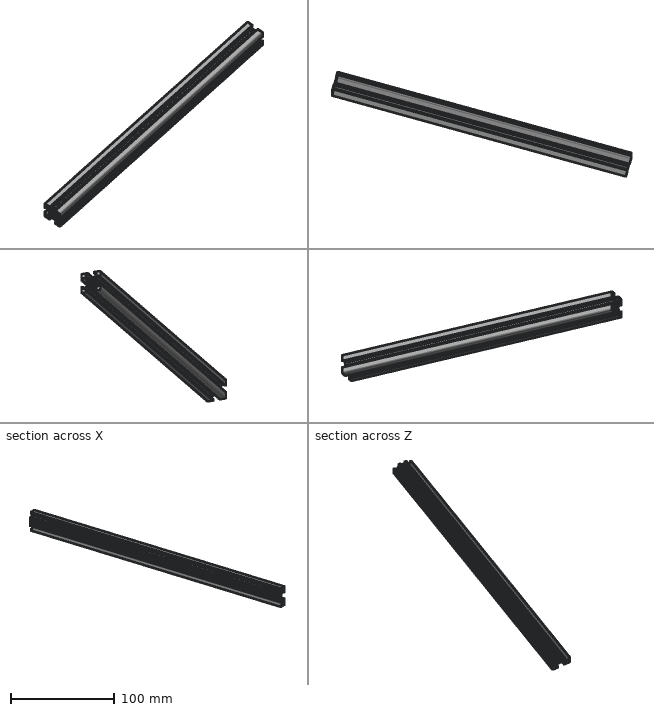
import cadquery as cq

size = 20.0
length = 296.0
corner_radius = 1.0

slot_opening = 7.0
slot_depth = 5.5
slot_floor_width = 7.0
lip_thickness = 1.5
lip_radius = 0.5
cavity_width = 11.0
cavity_radius = 0.5
cavity_wall_height = 2.25

groove_top_width = 1.4
groove_bottom_width = 0.6
groove_depth = 0.4

bore_diameter = 5.0
relief_width = 1.2
relief_reach = 3.6

half_size = size / 2


def section():
    """Cross-section plane: local x is +X, local y is +Z."""
    return cq.Workplane("XZ")


def extrude_along_bar(outline):
    """Extrude a cross-section over the full length, centred on Y = 0."""
    return outline.extrude(length / 2, both=True)


def turn_about_bar(body, angle):
    return body.rotate((0, 0, 0), (0, 1, 0), angle)


def fillet_pair(body, x, z, radius):
    """Round the two lengthwise edges of a slot body at (-x, z) and (+x, z)."""
    ends = [(-x, 0, z), (x, 0, z)]
    for end in ends:
        body = body.edges(cq.selectors.NearestToPointSelector(end)).fillet(radius)
    return body


def slot_cutter():
    """T-slot of the +Z side, with the groove in its floor."""
    half_opening = slot_opening / 2
    half_cavity = cavity_width / 2
    floor_z = half_size - slot_depth
    lip_z = half_size - lip_thickness
    right_side = [
        (groove_bottom_width / 2, floor_z - groove_depth),
        (groove_top_width / 2, floor_z),
        (slot_floor_width / 2, floor_z),
        (half_cavity, lip_z - cavity_wall_height),
        (half_cavity, lip_z),
        (half_opening, lip_z),
        (half_opening, half_size),
    ]
    left_side = [(-x, z) for x, z in reversed(right_side)]
    slot = extrude_along_bar(section().polyline(right_side + left_side).close())
    slot = fillet_pair(slot, half_cavity, lip_z, cavity_radius)
    return fillet_pair(slot, half_opening, lip_z, lip_radius)


def bore_cutter():
    """Round bore crossed by two diagonal relief slots."""
    bore = extrude_along_bar(section().circle(bore_diameter / 2))
    relief = extrude_along_bar(section().rect(2 * relief_reach, relief_width))
    for angle in (45, 135):
        bore = bore.union(turn_about_bar(relief, angle))
    return bore


bar = extrude_along_bar(section().rect(size, size)).edges("|Y").fillet(corner_radius)
slot = slot_cutter()
for side in range(4):
    bar = bar.cut(turn_about_bar(slot, side * 90))
result = bar.cut(bore_cutter())